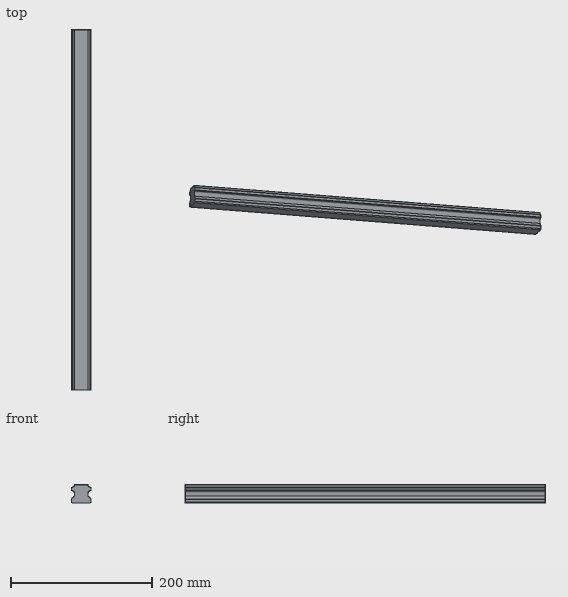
import cadquery as cq
import math

length = 510.0
width = 28.0
height = 26.0
half_width = width / 2

web_half_width = 9.5
nose_height = 20.0
nose_land = 3.3
nose_bevel_width = 1.5
nose_bevel_height = 1.0

foot_side_height = 5.0
shoulder_bevel_width = 0.25
shoulder_bevel_height = 0.75
shoulder_top = 10.0
base_chamfer = 1.5


def groove_midpoint(web_end, nose_end):
    """Point about halfway along a groove that is close to a quarter round."""
    reach = nose_end[0] - web_end[0]
    rise = nose_end[1] - web_end[1]
    x = web_end[0] + reach * (1 - math.cos(math.pi / 4))
    z = web_end[1] + rise * math.sin(math.pi / 4)
    return x, z


def half_profile():
    """Closed outline of the +X half of the rail section."""
    nose_top = nose_height + nose_land / 2
    nose_bottom = nose_height - nose_land / 2
    nose_edge_x = half_width - nose_bevel_width
    upper_nose_edge = (nose_edge_x, nose_top + nose_bevel_height)
    lower_nose_edge = (nose_edge_x, nose_bottom - nose_bevel_height)

    web_head_end = (web_half_width, height)
    web_groove_end = (web_half_width, 2 * nose_height - height)

    return (
        cq.Workplane("XZ", origin=(0, length / 2, 0))
        .lineTo(half_width - base_chamfer, 0)
        .lineTo(half_width, base_chamfer)
        .lineTo(half_width, foot_side_height)
        .lineTo(half_width - shoulder_bevel_width, foot_side_height + shoulder_bevel_height)
        .lineTo(web_half_width, shoulder_top)
        .lineTo(*web_groove_end)
        .threePointArc(groove_midpoint(web_groove_end, lower_nose_edge), lower_nose_edge)
        .lineTo(half_width, nose_bottom)
        .lineTo(half_width, nose_top)
        .lineTo(*upper_nose_edge)
        .threePointArc(groove_midpoint(web_head_end, upper_nose_edge), web_head_end)
        .lineTo(0, height)
        .close()
    )


half_rail = half_profile().extrude(length)
result = half_rail.union(half_rail.mirror("YZ")).clean()